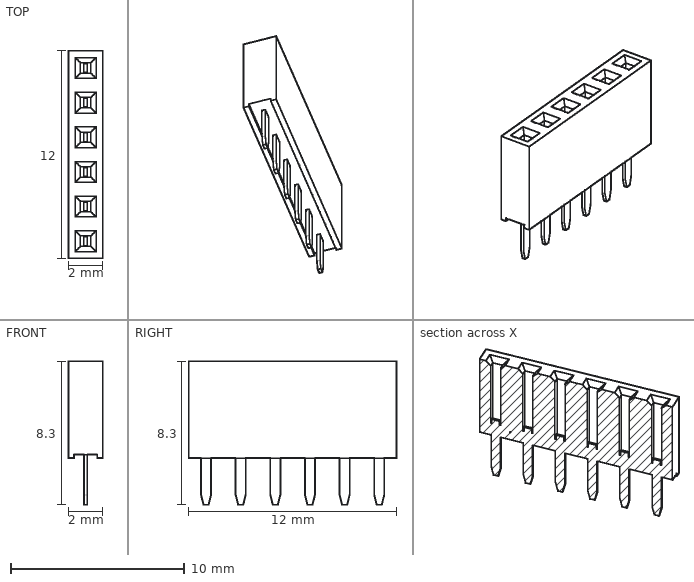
import cadquery as cq

POSITIONS = 6
PITCH = 2.0
HOUSING_WIDTH = 2.0
HOUSING_LENGTH = POSITIONS * PITCH
HOUSING_HEIGHT = 5.6

CHANNEL_WIDTH = 1.33
CHANNEL_DEPTH = 0.2

MOUTH_SIDE = 1.2
SHAFT_SIDE = 0.6
FUNNEL_DEPTH = (MOUTH_SIDE - SHAFT_SIDE) / 2
FLOOR_THICKNESS = 0.9
SOCKET_FLOOR = CHANNEL_DEPTH + FLOOR_THICKNESS

PIN_THICKNESS = 0.2
PIN_WIDTH = 0.6
TIP_WIDTH = PIN_WIDTH / 2
TIP_LENGTH = 0.6
PIN_PROJECTION = 2.7

CONTACT_LENGTH = 0.5
CONTACT_HEIGHT = 0.3

CONTACT_CENTRES = [(i - (POSITIONS - 1) / 2) * PITCH for i in range(POSITIONS)]


def make_housing():
    """Block standing on Z = 0 with the channel cut along its underside."""
    block = cq.Workplane("XY").box(
        HOUSING_WIDTH, HOUSING_LENGTH, HOUSING_HEIGHT, centered=(True, True, False)
    )
    channel = cq.Workplane("XY").box(
        CHANNEL_WIDTH, HOUSING_LENGTH, CHANNEL_DEPTH, centered=(True, True, False)
    )
    return block.cut(channel)


def make_socket(y_centre):
    """Void of one socket: the entry funnel with the straight shaft below it."""
    shaft_top = HOUSING_HEIGHT - FUNNEL_DEPTH
    shaft_depth = shaft_top - SOCKET_FLOOR
    funnel = (
        cq.Workplane("XY", origin=(0, y_centre, HOUSING_HEIGHT))
        .rect(MOUTH_SIDE, MOUTH_SIDE)
        .workplane(offset=-FUNNEL_DEPTH)
        .rect(SHAFT_SIDE, SHAFT_SIDE)
        .loft(ruled=True)
    )
    shaft = (
        cq.Workplane("XY", origin=(0, y_centre, shaft_top))
        .rect(SHAFT_SIDE, SHAFT_SIDE)
        .extrude(-shaft_depth)
    )
    return funnel.union(shaft)


def make_contact(y_centre):
    """Narrow blade standing on the socket floor, in line with the pin below."""
    return (
        cq.Workplane("XY", origin=(0, y_centre, SOCKET_FLOOR))
        .rect(PIN_THICKNESS, CONTACT_LENGTH)
        .extrude(CONTACT_HEIGHT)
    )


def make_pin(y_centre):
    """Blade hanging from the channel roof, tapered across Y at its tip."""
    tip_end = -PIN_PROJECTION
    tip_start = tip_end + TIP_LENGTH
    return (
        cq.Workplane("YZ", origin=(0, y_centre, 0))
        .polyline(
            [
                (-PIN_WIDTH / 2, CHANNEL_DEPTH),
                (-PIN_WIDTH / 2, tip_start),
                (-TIP_WIDTH / 2, tip_end),
                (TIP_WIDTH / 2, tip_end),
                (PIN_WIDTH / 2, tip_start),
                (PIN_WIDTH / 2, CHANNEL_DEPTH),
            ]
        )
        .close()
        .extrude(PIN_THICKNESS / 2, both=True)
    )


result = make_housing()
for centre in CONTACT_CENTRES:
    result = result.cut(make_socket(centre))
    result = result.union(make_contact(centre)).union(make_pin(centre))